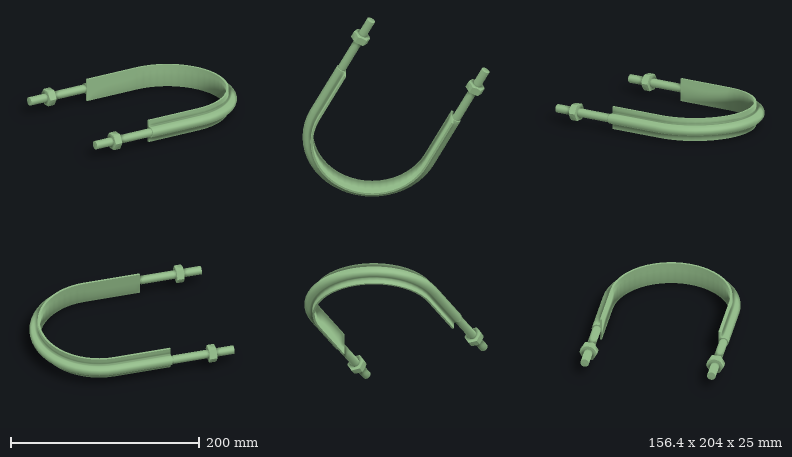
import cadquery as cq
import math

TOTAL_LENGTH = 204.0
BEND_RADIUS = 68.5
LINER_LENGTH = 135.7

SHANK_DIAMETER = 8.4
THREAD_DIAMETER = 9.2
NECK_LENGTH = 1.8

LINER_HEIGHT = 25.0
STRIP_THICKNESS = 2.2
STRIP_INNER_OFFSET = 5.5
RIDGE_RADIUS = 5.5
RIDGE_FILLET = 1.5

NUT_CORNER_DIAMETER = 19.4
NUT_BORE_DIAMETER = 9.8
NUT_HEIGHT = 8.2
NUT_END_OFFSET = 20.0
NUT_CHAMFER_DIAMETER = 16.5
NUT_CHAMFER_ANGLE = 30.0

crown_y = BEND_RADIUS + RIDGE_RADIUS
rod_end_y = crown_y - TOTAL_LENGTH
liner_end_y = crown_y - LINER_LENGTH
thread_start_y = liner_end_y - NECK_LENGTH
nut_outer_y = rod_end_y + NUT_END_OFFSET


def section_plane():
    """Section of the right leg at the bend centre; local x is +X and local y is +Z."""
    return cq.Workplane("XZ")


def rod_section(diameter):
    return section_plane().moveTo(BEND_RADIUS, 0).circle(diameter / 2)


def liner_section():
    """Strip and ridge outline with tangent fillets, before the rod bore is cut."""
    half_height = LINER_HEIGHT / 2
    inner_x = BEND_RADIUS - STRIP_INNER_OFFSET
    outer_x = inner_x + STRIP_THICKNESS

    fillet_x = outer_x + RIDGE_FILLET
    center_distance = RIDGE_RADIUS + RIDGE_FILLET
    fillet_z = math.sqrt(center_distance**2 - (fillet_x - BEND_RADIUS) ** 2)
    ridge_share = RIDGE_RADIUS / center_distance
    ridge_start_x = BEND_RADIUS + (fillet_x - BEND_RADIUS) * ridge_share
    ridge_start_z = fillet_z * ridge_share

    contact_angle = math.atan2(-fillet_z, BEND_RADIUS - fillet_x)
    middle_angle = (contact_angle - math.pi) / 2
    middle_x = fillet_x + RIDGE_FILLET * math.cos(middle_angle)
    middle_z = fillet_z + RIDGE_FILLET * math.sin(middle_angle)

    return (
        section_plane()
        .moveTo(inner_x, -half_height)
        .lineTo(inner_x, half_height)
        .lineTo(outer_x, half_height)
        .lineTo(outer_x, fillet_z)
        .threePointArc((middle_x, middle_z), (ridge_start_x, ridge_start_z))
        .threePointArc((BEND_RADIUS + RIDGE_RADIUS, 0), (ridge_start_x, -ridge_start_z))
        .threePointArc((middle_x, -middle_z), (outer_x, -fillet_z))
        .lineTo(outer_x, -half_height)
        .close()
    )


def arch(section, leg_length):
    """Half-turn bend with a straight leg at each end, all with the same section."""
    bend = section.revolve(180, (0, 0, 0), (0, 1, 0))
    leg = section.toPending().extrude(leg_length)
    return bend.union(leg).union(leg.mirror("YZ"))


def make_rod():
    rod = arch(rod_section(SHANK_DIAMETER), -thread_start_y)
    threaded_end = (
        rod_section(THREAD_DIAMETER)
        .extrude(thread_start_y - rod_end_y)
        .translate((0, thread_start_y, 0))
    )
    return rod.union(threaded_end).union(threaded_end.mirror("YZ"))


def make_liner():
    bore = arch(rod_section(SHANK_DIAMETER), -liner_end_y)
    return arch(liner_section(), -liner_end_y).cut(bore)


def make_nut(x):
    """Hex nut with corners along X and its outer face chamfered."""
    corner_radius = NUT_CORNER_DIAMETER / 2
    chamfer_radius = NUT_CHAMFER_DIAMETER / 2
    chamfer_depth = (corner_radius - chamfer_radius) * math.tan(math.radians(NUT_CHAMFER_ANGLE))
    chamfer_envelope = (
        cq.Workplane("XY")
        .polyline([
            (0, 0),
            (chamfer_radius, 0),
            (corner_radius, chamfer_depth),
            (corner_radius, NUT_HEIGHT),
            (0, NUT_HEIGHT),
        ])
        .close()
        .revolve(360, (0, 0, 0), (0, 1, 0))
    )
    nut = (
        cq.Workplane("XZ")
        .polygon(6, NUT_CORNER_DIAMETER)
        .circle(NUT_BORE_DIAMETER / 2)
        .extrude(-NUT_HEIGHT)
        .intersect(chamfer_envelope)
    )
    return nut.translate((x, nut_outer_y, 0))


rod = make_rod()
liner = make_liner()
nuts = [make_nut(side * BEND_RADIUS) for side in (-1, 1)]

bodies = [rod, liner, *nuts]
result = cq.Compound.makeCompound([body.solids().val() for body in bodies])